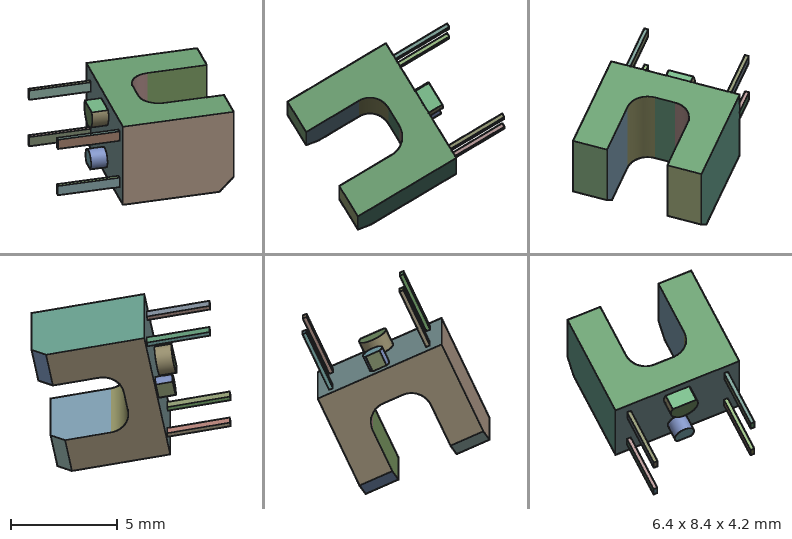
import cadquery as cq

WIDTH = 6.4
DEPTH = 5.4
HEIGHT = 4.2
CHAMFER = 0.7

SLOT_WIDTH = 3.0
SLOT_FLOOR = 1.5
SLOT_CORNER_RADIUS = 1.0

BOSS_LENGTH = 0.8
BOSS_OFFSET = 1.25
BOSS_FLAT_OFFSET = 1.6
UPPER_BOSS_DIAMETER = 1.4
LOWER_BOSS_DIAMETER = 1.0

PIN_WIDTH = 0.2
PIN_HEIGHT = 0.5
PIN_LENGTH = 3.0
PIN_CENTRES = [
    (-2.50, 1.24),
    (-2.51, -1.26),
    (2.51, 1.28),
    (2.50, -1.21),
]


def make_block():
    """Rectangular block with a chamfer along its lower +Y edge."""
    block = cq.Workplane("XY").box(WIDTH, DEPTH, HEIGHT, centered=(True, False, True))
    return block.faces(">Y").edges("<Z").chamfer(CHAMFER)


def make_slot():
    """Vertical through slot with rounded floor corners, used as a cutter."""
    slot_depth = DEPTH - SLOT_FLOOR
    slot = cq.Workplane("XY").box(SLOT_WIDTH, slot_depth, HEIGHT, centered=(True, False, True))
    slot = slot.faces("<Y").edges("|Z").fillet(SLOT_CORNER_RADIUS)
    return slot.translate((0, SLOT_FLOOR, 0))


def make_boss(diameter, side):
    """Boss above (side = 1) or below (side = -1) the middle, cut flat on its outer side."""
    cylinder = cq.Workplane("XZ").center(0, side * BOSS_OFFSET).circle(diameter / 2).extrude(BOSS_LENGTH)
    kept_zone = cq.Workplane("XZ").rect(WIDTH, 2 * BOSS_FLAT_OFFSET).extrude(BOSS_LENGTH)
    return cylinder.intersect(kept_zone)


def make_housing():
    """U-shaped block with its two locating bosses."""
    housing = make_block().cut(make_slot())
    housing = housing.union(make_boss(UPPER_BOSS_DIAMETER, 1))
    return housing.union(make_boss(LOWER_BOSS_DIAMETER, -1))


def make_pin(x, z):
    """One lead pin running from the mounting face toward -Y."""
    return cq.Workplane("XZ").center(x, z).rect(PIN_WIDTH, PIN_HEIGHT).extrude(PIN_LENGTH)


housing = make_housing()
pins = [make_pin(x, z) for x, z in PIN_CENTRES]

result = cq.Compound.makeCompound([housing.val(), *[pin.val() for pin in pins]])